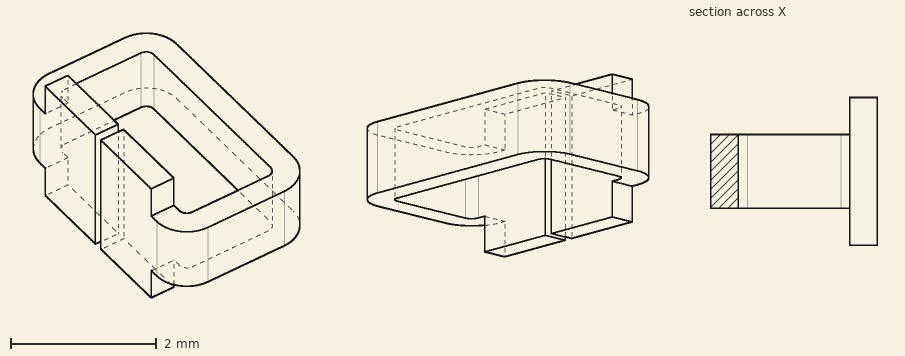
import cadquery as cq

length = 3.81
depth = 2.29
plate_height = 2.03

band_height = plate_height / 2
thickness = 0.38
outer_radius = 0.505
inner_radius = outer_radius - thickness

plates_span = 2.54
gap = 0.125


def rounded_block(size_x, size_y, radius):
    """Block of band height with rounded vertical edges, centred on the origin."""
    return cq.Workplane("XY").box(size_x, size_y, band_height).edges("|Z").fillet(radius)


def wall_block(width, height):
    """Block filling the thickness of the -Y wall, centred in X and Z."""
    wall_y = -(depth - thickness) / 2
    return cq.Workplane("XY").box(width, thickness, height).translate((0, wall_y, 0))


outer = rounded_block(length, depth, outer_radius)
opening = rounded_block(length - 2 * thickness, depth - 2 * thickness, inner_radius)
loop = outer.cut(opening)

plates = wall_block(plates_span, plate_height)
result = loop.union(plates).cut(wall_block(gap, plate_height))